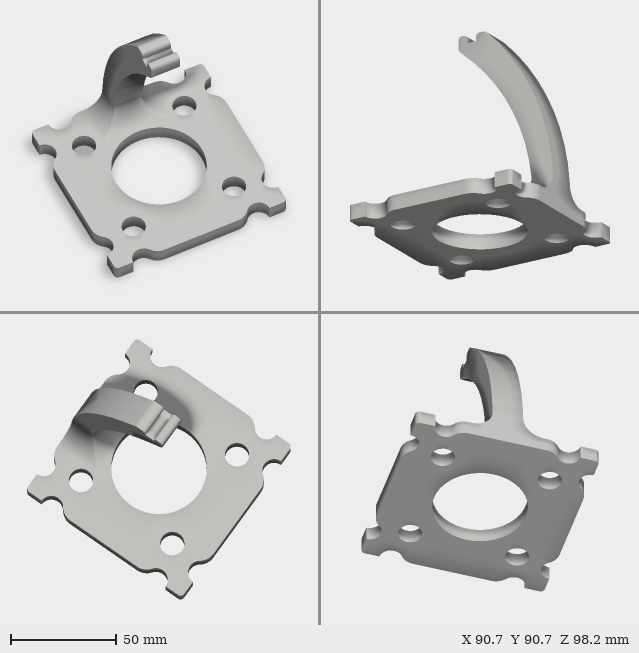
import cadquery as cq
import math

plate_side = 90.7
plate_height = 7.7
plate_corner_radius = 2.0
bore_diameter = plate_side / 2
screw_hole_diameter = 11.5
screw_hole_offset = 26.5
notch_radius = 5.6
notch_from_corner = 14.9
notch_blend_radius = 8.1

total_height = 98.25
arm_width = 15.1
outer_radius = 119.6
outer_center_height = 10.8
inner_radius = 106.3
inner_center_x = 117.6
inner_center_height = 6.5

tip_end_x = 52.8
tip_slope_top_height = 91.1
inner_curve_end_x = 44.0
slot_left_x = 42.8
slot_right_x = 47.8
slot_depth = 4.1
tip_corner_radius = 2.0
tip_under_radius = 3.9
tip_outer_radius = 3.9

flare_radius = 10.4
foot_top = plate_height + flare_radius

half_side = plate_side / 2
outer_center_x = math.sqrt(outer_radius**2 - (foot_top - outer_center_height) ** 2)


def make_plate():
    plate = cq.Workplane("XY").rect(plate_side, plate_side).extrude(plate_height)
    plate = plate.edges("|Z").fillet(plate_corner_radius)

    notch_offset = half_side - notch_from_corner
    notch_centers = []
    for sign in (-1, 1):
        for offset in (-notch_offset, notch_offset):
            notch_centers += [(sign * half_side, offset), (offset, sign * half_side)]
    plate = plate.cut(cq.Workplane("XY").pushPoints(notch_centers).circle(notch_radius).extrude(plate_height))

    blend_offset = notch_offset - notch_radius
    for sign in (-1, 1):
        for offset in (-blend_offset, blend_offset):
            for x, y in ((sign * half_side, offset), (offset, sign * half_side)):
                nearest = cq.NearestToPointSelector((x, y, plate_height / 2))
                plate = plate.edges("|Z").edges(nearest).fillet(notch_blend_radius)

    screw_holes = cq.Workplane("XY").rect(2 * screw_hole_offset, 2 * screw_hole_offset, forConstruction=True)
    screw_holes = screw_holes.vertices().circle(screw_hole_diameter / 2).extrude(plate_height)
    bore = cq.Workplane("XY").circle(bore_diameter / 2).extrude(plate_height)
    return plate.cut(screw_holes).cut(bore)


def outer_point(z):
    """Point of the arm's outer face at height z."""
    reach = math.sqrt(outer_radius**2 - (z - outer_center_height) ** 2)
    return (outer_center_x - reach, z)


def inner_point(z):
    """Point of the arm's inner face at height z."""
    reach = math.sqrt(inner_radius**2 - (z - inner_center_height) ** 2)
    return (inner_center_x - reach, z)


def inner_height(x):
    """Height of the arm's inner face at distance x."""
    return inner_center_height + math.sqrt(inner_radius**2 - (inner_center_x - x) ** 2)


def side_plane():
    """XZ sketch plane whose X distances start at the -X side of the plate."""
    return cq.Workplane("XZ", origin=(-half_side, 0, 0))


def make_arm():
    inner_end = (inner_curve_end_x, inner_height(inner_curve_end_x))
    slot_floor = total_height - slot_depth
    middle_height = (foot_top + total_height) / 2
    top_left = outer_point(total_height)
    arm = (
        side_plane()
        .moveTo(*outer_point(foot_top))
        .threePointArc(outer_point(middle_height), top_left)
        .lineTo(slot_left_x, total_height)
        .lineTo(slot_left_x, slot_floor)
        .lineTo(slot_right_x, slot_floor)
        .lineTo(slot_right_x, total_height)
        .lineTo(tip_end_x, total_height)
        .lineTo(tip_end_x, tip_slope_top_height)
        .lineTo(*inner_end)
        .threePointArc(inner_point((foot_top + inner_end[1]) / 2), inner_point(foot_top))
        .close()
        .extrude(arm_width / 2, both=True)
    )
    rounded_corners = [
        (top_left[0], total_height, tip_outer_radius),
        (slot_left_x, total_height, tip_corner_radius),
        (slot_right_x, total_height, tip_corner_radius),
        (tip_end_x, total_height, tip_corner_radius),
        (tip_end_x, tip_slope_top_height, tip_under_radius),
    ]
    for x, z, radius in rounded_corners:
        nearest = cq.NearestToPointSelector((x - half_side, 0, z))
        arm = arm.edges("|Y").edges(nearest).fillet(radius)
    return arm


def make_foot():
    arc_inset = flare_radius * (1 - math.sqrt(0.5))
    neck_x = inner_point(foot_top)[0]
    half_width = arm_width / 2
    foot_half_width = half_width + flare_radius
    arc_middle_height = plate_height + arc_inset
    front_profile = (
        side_plane()
        .moveTo(0, plate_height)
        .lineTo(*outer_point(foot_top))
        .lineTo(neck_x, foot_top)
        .threePointArc((neck_x + arc_inset, arc_middle_height), (neck_x + flare_radius, plate_height))
        .close()
        .extrude(foot_half_width, both=True)
    )
    cross_profile = (
        cq.Workplane("YZ", origin=(-half_side, 0, 0))
        .moveTo(-foot_half_width, plate_height)
        .threePointArc((-half_width - arc_inset, arc_middle_height), (-half_width, foot_top))
        .lineTo(half_width, foot_top)
        .threePointArc((half_width + arc_inset, arc_middle_height), (foot_half_width, plate_height))
        .close()
        .extrude(plate_side)
    )
    return front_profile.intersect(cross_profile)


result = make_plate().union(make_foot()).union(make_arm())